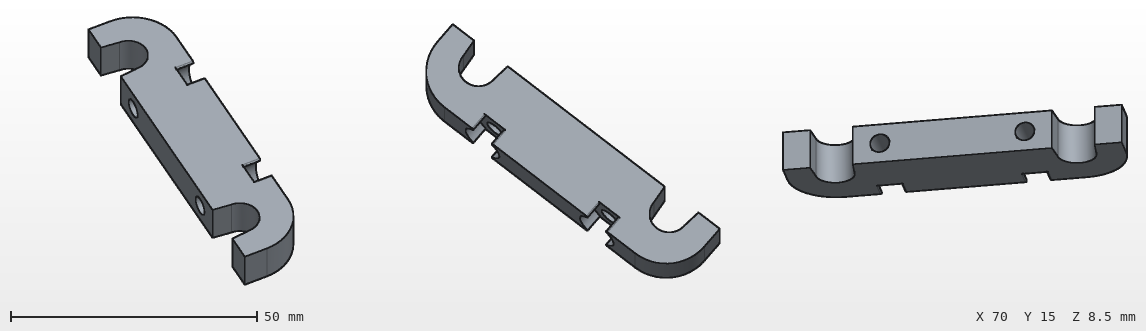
import cadquery as cq
import math

length = 70.0
depth = 15.0
thickness = 8.5
corner_radius = 10.0

slot_center_x = length / 2 - corner_radius
slot_radius = 4.0
slot_center_y = 4.0
slot_mouth_half_width = 4.4

hole_x = 15.0
hole_diameter = 4.0
counterbore_radius = 4.4
counterbore_depth = 4.0
lip_radius = 0.35


def make_bar():
    bar = cq.Workplane("XY").box(length, depth, thickness, centered=(True, False, True))
    return bar.edges("|Z and >Y").fillet(corner_radius)


def make_hook_slot(center_x):
    """Round-ended slot whose straight sides spread toward the front face."""
    return (
        cq.Workplane("XY", origin=(center_x, 0, -thickness / 2))
        .moveTo(-slot_mouth_half_width, 0)
        .lineTo(-slot_radius, slot_center_y)
        .threePointArc((0, slot_center_y + slot_radius), (slot_radius, slot_center_y))
        .lineTo(slot_mouth_half_width, 0)
        .close()
        .extrude(thickness)
    )


def make_bolt_hole(center_x):
    return (
        cq.Workplane("XZ", origin=(center_x, depth, 0))
        .circle(hole_diameter / 2)
        .extrude(depth)
    )


def make_counterbore(center_x):
    """Round counterbore that opens through the top and bottom faces between rounded lips."""
    half_height = thickness / 2
    lip_z = half_height - lip_radius
    lip_x = math.sqrt((counterbore_radius + lip_radius) ** 2 - lip_z ** 2)
    lip_angle = math.atan2(lip_z, lip_x)
    contact_x = counterbore_radius * math.cos(lip_angle)
    contact_z = counterbore_radius * math.sin(lip_angle)
    middle_angle = (math.pi / 2 + math.pi + lip_angle) / 2
    middle_x = lip_x + lip_radius * math.cos(middle_angle)
    middle_z = lip_z + lip_radius * math.sin(middle_angle)
    return (
        cq.Workplane("XZ", origin=(center_x, depth, 0))
        .moveTo(lip_x, half_height)
        .threePointArc((middle_x, middle_z), (contact_x, contact_z))
        .threePointArc((counterbore_radius, 0), (contact_x, -contact_z))
        .threePointArc((middle_x, -middle_z), (lip_x, -half_height))
        .lineTo(-lip_x, -half_height)
        .threePointArc((-middle_x, -middle_z), (-contact_x, -contact_z))
        .threePointArc((-counterbore_radius, 0), (-contact_x, contact_z))
        .threePointArc((-middle_x, middle_z), (-lip_x, half_height))
        .close()
        .extrude(counterbore_depth)
    )


result = make_bar()
for side in (-1, 1):
    result = result.cut(make_hook_slot(side * slot_center_x))
    result = result.cut(make_bolt_hole(side * hole_x))
    result = result.cut(make_counterbore(side * hole_x))